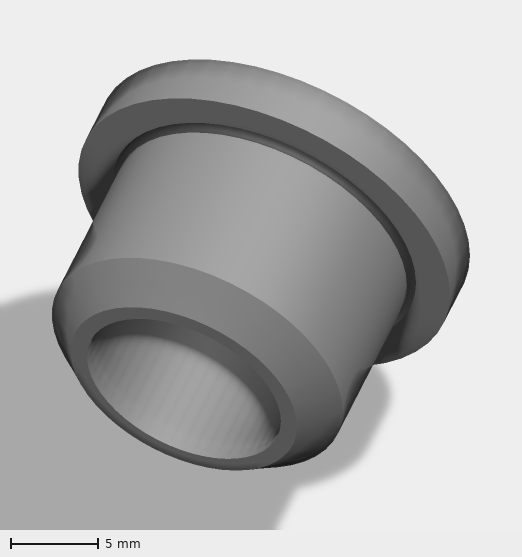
import cadquery as cq

flange_diameter = 23.0
flange_thickness = 3.0
body_diameter = 18.0
bore_diameter = 12.0
total_length = 15.0
lead_in_chamfer = 2.0
relief_radius = 0.4

body_length = total_length - flange_thickness
body_radius = body_diameter / 2

flange = cq.Workplane("XZ").circle(flange_diameter / 2).extrude(-flange_thickness)

body = (
    cq.Workplane("XZ")
    .circle(body_radius)
    .extrude(body_length)
    .faces("<Y")
    .chamfer(lead_in_chamfer)
)

bore = (
    cq.Workplane("XZ", origin=(0, flange_thickness, 0))
    .circle(bore_diameter / 2)
    .extrude(total_length)
)

relief_groove = (
    cq.Workplane("XY")
    .center(body_radius, 0)
    .circle(relief_radius)
    .revolve(360, (-body_radius, 0), (-body_radius, 1))
)

result = flange.union(body).cut(bore).cut(relief_groove)